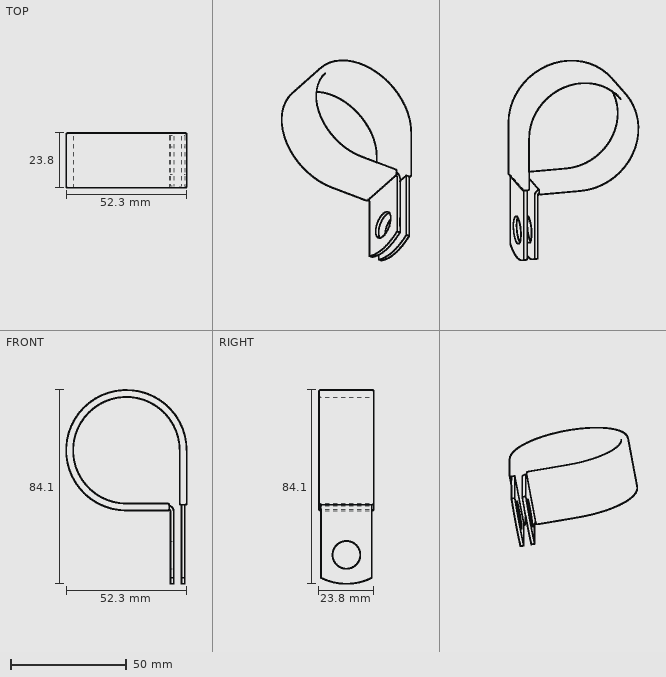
import cadquery as cq
import math

outer_radius = 26.15
cushion_thickness = 3.1
cushion_width = 23.8
cushion_rounding = 0.75
wall_end_z = -23.7
floor_end_x = 18.6

strip_thickness = 1.5
strip_width = 22.0
bend_inner_radius = 1.3
tab_gap = 3.3
tab_bottom_z = -57.9
tab_end_rise = 2.6
hole_diameter = 11.9
hole_above_bottom = 12.6

inner_radius = outer_radius - cushion_thickness
middle_radius = outer_radius - cushion_thickness / 2
strip_outer_radius = middle_radius + strip_thickness / 2
strip_inner_radius = middle_radius - strip_thickness / 2
diagonal = math.sqrt(0.5)


def extrude_centred(profile, width):
    """Extrude an XZ profile symmetrically about Y = 0."""
    return profile.extrude(width / 2, both=True)


def make_cushion():
    """Three-quarter ring with a straight floor and a straight upright wall."""
    profile = (
        cq.Workplane("XZ")
        .moveTo(floor_end_x, -outer_radius)
        .lineTo(0, -outer_radius)
        .threePointArc((-outer_radius * diagonal, outer_radius * diagonal), (outer_radius, 0))
        .lineTo(outer_radius, wall_end_z)
        .lineTo(inner_radius, wall_end_z)
        .lineTo(inner_radius, 0)
        .threePointArc((-inner_radius * diagonal, inner_radius * diagonal), (0, -inner_radius))
        .lineTo(floor_end_x, -inner_radius)
        .close()
    )
    return extrude_centred(profile, cushion_width).edges().fillet(cushion_rounding)


def make_straight_tab():
    """Tab continuing the upright wall downward, rooted inside the cushion."""
    profile = (
        cq.Workplane("XZ")
        .moveTo(strip_inner_radius, 0)
        .lineTo(strip_outer_radius, 0)
        .lineTo(strip_outer_radius, tab_bottom_z)
        .lineTo(strip_inner_radius, tab_bottom_z)
        .close()
    )
    return extrude_centred(profile, strip_width)


def make_bent_tab():
    """Tab leaving the floor and bending down parallel to the straight tab."""
    tab_outer_x = strip_inner_radius - tab_gap
    tab_inner_x = tab_outer_x - strip_thickness
    bend_x = tab_inner_x - bend_inner_radius
    bend_z = -strip_outer_radius - bend_inner_radius
    bend_outer_radius = bend_inner_radius + strip_thickness
    outer_offset = bend_outer_radius * diagonal
    inner_offset = bend_inner_radius * diagonal
    profile = (
        cq.Workplane("XZ")
        .moveTo(0, -strip_inner_radius)
        .lineTo(bend_x, -strip_inner_radius)
        .threePointArc((bend_x + outer_offset, bend_z + outer_offset), (tab_outer_x, bend_z))
        .lineTo(tab_outer_x, tab_bottom_z)
        .lineTo(tab_inner_x, tab_bottom_z)
        .lineTo(tab_inner_x, bend_z)
        .threePointArc((bend_x + inner_offset, bend_z + inner_offset), (bend_x, -strip_outer_radius))
        .lineTo(0, -strip_outer_radius)
        .close()
    )
    return extrude_centred(profile, strip_width)


def make_tab_outline():
    """Envelope along X that gives both tabs their curved lower end."""
    half_width = strip_width / 2
    corner_z = tab_bottom_z + tab_end_rise
    return (
        cq.Workplane("YZ")
        .moveTo(-half_width, 0)
        .lineTo(-half_width, corner_z)
        .threePointArc((0, tab_bottom_z), (half_width, corner_z))
        .lineTo(half_width, 0)
        .close()
        .extrude(outer_radius)
    )


def make_bolt_hole():
    """Cylinder along X passing through both tabs."""
    return (
        cq.Workplane("YZ")
        .center(0, tab_bottom_z + hole_above_bottom)
        .circle(hole_diameter / 2)
        .extrude(outer_radius)
    )


tabs = make_straight_tab().union(make_bent_tab())
tabs = tabs.intersect(make_tab_outline()).cut(make_bolt_hole())
result = make_cushion().union(tabs)